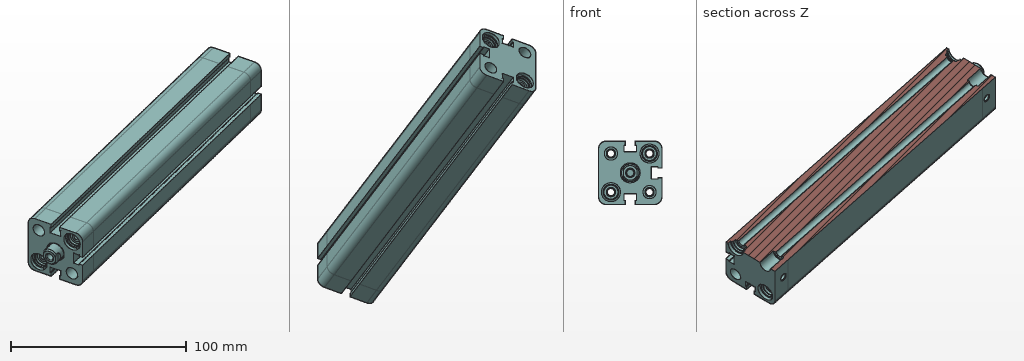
import cadquery as cq

side = 36.2
total_length = 203.5
rod_projection = 6.5
body_length = total_length - rod_projection
cap_length = 11.8
corner_radius = 4.5
front_y = -body_length / 2
back_y = body_length / 2
tip_y = front_y - rod_projection

slot_mouth = 5.5
slot_width = 7.0
slot_depth = 6.1
lip_depth = 2.5

hole_offset = 11.0
through_diameter = 4.0
mouth_diameter = 5.3
plain_diameter = 7.5
plain_depth = cap_length
seat_diameter = 10.8
seat_depth = 2.0
ring_diameter = 9.0
ring_depth = 3.3
head_diameter = 8.0
head_depth = 4.9

rod_diameter = 10.0
rod_chamfer = 0.8
flat_width = 8.0
flat_length = 3.0
rod_bore_diameter = 4.0
rod_bore_mouth = 5.3
rod_bore_depth = 16.3
seal_diameter = 11.5
seal_depth = 1.2

port_inset = 7.7
port_mouth = 4.9
port_diameter = 4.0
port_depth = 4.0
nozzle_diameter = 1.75
nozzle_depth = 8.1


def bar(start_y, length):
    """Rounded square bar along Y."""
    block = cq.Workplane("XY").box(side, length, side).edges("|Y").fillet(corner_radius)
    return block.translate((0, start_y + length / 2, 0))


def rod_along_y(diameter, start_y, end_y, x=0.0, z=0.0):
    """Cylinder along Y between two Y positions."""
    length = end_y - start_y
    plane = cq.Plane(origin=(x, start_y, z), xDir=(1, 0, 0), normal=(0, 1, 0))
    return cq.Workplane(plane).circle(diameter / 2).extrude(length)


def slot(angle):
    """T-slot cutter in the +Z side, turned about Y."""
    top = side / 2
    mouth = cq.Workplane("XY").box(slot_mouth, body_length, slot_depth)
    mouth = mouth.translate((0, 0, top - slot_depth / 2))
    channel_height = slot_depth - lip_depth
    channel = cq.Workplane("XY").box(slot_width, body_length, channel_height)
    channel = channel.translate((0, 0, top - slot_depth + channel_height / 2))
    return mouth.union(channel).rotate((0, 0, 0), (0, 1, 0), angle)


def countersink(mouth, bore, origin, normal):
    """Cone at 45 degrees from a mouth diameter down to a bore diameter."""
    depth = (mouth - bore) / 2
    cone = cq.Solid.makeCone(mouth / 2, bore / 2, depth, cq.Vector(*origin), cq.Vector(*normal))
    return cq.Workplane(cone)


def end_recess(steps, x, z):
    """Matching stepped recesses in both end faces, each ending in a countersink."""
    cutter = cq.Workplane("XY")
    for diameter, depth in steps:
        cutter = cutter.add(rod_along_y(diameter, front_y, front_y + depth, x, z))
    deepest = max(depth for _, depth in steps)
    floor_center = (x, front_y + deepest, z)
    cutter = cutter.add(countersink(mouth_diameter, through_diameter, floor_center, (0, 1, 0)))
    cutter = cutter.combine()
    return cutter.union(cutter.mirror("XZ"))


def port(y):
    """Countersunk port with a narrow nozzle, entering from -X."""
    plane = cq.Plane(origin=(-side / 2, y, 0), xDir=(0, 1, 0), normal=(1, 0, 0))
    mouth = cq.Workplane(plane).circle(port_diameter / 2).extrude(port_depth)
    nozzle = cq.Workplane(plane).circle(nozzle_diameter / 2).extrude(nozzle_depth)
    sink = countersink(port_mouth, port_diameter, plane.origin.toTuple(), (1, 0, 0))
    return mouth.union(nozzle).union(sink)


def piston_rod():
    """Rod end with a pair of spanner flats that run out at 45 degrees."""
    rod = rod_along_y(rod_diameter, tip_y, front_y + seal_depth).faces("<Y").chamfer(rod_chamfer)
    runout = rod_diameter - flat_width
    flat_x = flat_width / 2
    flat_end = tip_y + flat_length
    profile = [
        (flat_x, tip_y),
        (flat_x, flat_end),
        (flat_x + runout, flat_end + runout),
        (flat_x + runout, tip_y),
    ]
    waste = cq.Workplane("XY").polyline(profile).close().extrude(rod_diameter / 2, both=True)
    return rod.cut(waste).cut(waste.mirror("YZ"))


body = bar(front_y + cap_length, body_length - 2 * cap_length)
for cap_start in (front_y, back_y - cap_length):
    body = body.union(bar(cap_start, cap_length), clean=False)

for angle in (0, 90, 180):
    body = body.cut(slot(angle), clean=False)

seat_steps = [
    (seat_diameter, seat_depth),
    (ring_diameter, ring_depth),
    (head_diameter, head_depth),
]
plain_steps = [(plain_diameter, plain_depth)]
for x_sign in (-1, 1):
    for z_sign in (-1, 1):
        x = x_sign * hole_offset
        z = z_sign * hole_offset
        body = body.cut(rod_along_y(through_diameter, front_y, back_y, x, z), clean=False)
        steps = seat_steps if x_sign == z_sign else plain_steps
        body = body.cut(end_recess(steps, x, z), clean=False)

for port_y in (front_y + port_inset, back_y - port_inset):
    body = body.cut(port(port_y), clean=False)

body = body.cut(rod_along_y(seal_diameter, front_y, front_y + seal_depth), clean=False)
body = body.union(piston_rod(), clean=False)
body = body.cut(rod_along_y(rod_bore_diameter, tip_y, tip_y + rod_bore_depth), clean=False)
bore_mouth = countersink(rod_bore_mouth, rod_bore_diameter, (0, tip_y, 0), (0, 1, 0))
result = body.cut(bore_mouth, clean=False)